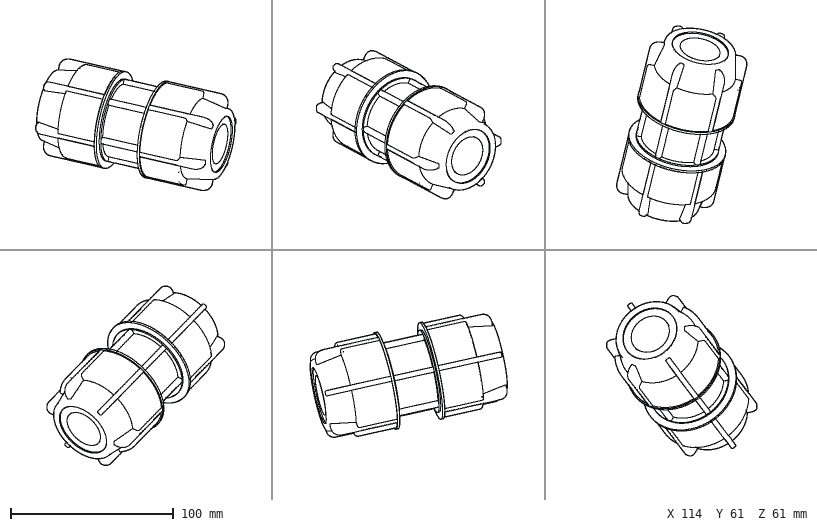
import cadquery as cq

total_length = 114.0
end_x = -total_length / 2
rib_count = 6
rib_width = 3.2
rib_edge_fillet = 0.7
rib_setback = 0.06

lip_radius = 22.3
lip_thickness = 0.8
lip_fillet = 0.7
cone_large_radius = 25.4
barrel_radius = 29.6
barrel_fillet = 1.4
barrel_start_x = -40.0
flange_radius = 61.0 / 2
flange_thickness = 1.5
flange_inner_x = -13.6
flange_outer_x = flange_inner_x - flange_thickness
nut_rib_radius = flange_radius - rib_setback
nut_rib_end_x = -55.9
nut_rib_corner_radius = 5.7
nut_rib_root_radius = 19.4

collar_radius = 51.9 / 2
collar_thickness = 1.0
core_radius = 22.9
body_rib_radius = collar_radius - rib_setback
body_rib_root_radius = 20.5

socket_radius = 25.0 / 2
stop_radius = 23.0 / 2
stop_width = 4.6
recess_radius = 35.2 / 2
recess_depth = 0.9

def cylinder(radius, start_x, stop_x):
    return cq.Workplane("YZ", origin=(start_x, 0, 0)).circle(radius).extrude(stop_x - start_x)

def around_axis(rib):
    """Repeat a rib standing on +Y evenly around the X axis."""
    ribs = rib
    for index in range(1, rib_count):
        ribs = ribs.union(rib.rotate((0, 0, 0), (1, 0, 0), index * 360 / rib_count))
    return ribs

def make_nut():
    lip_end_x = end_x + lip_thickness
    lip = cylinder(lip_radius, end_x, lip_end_x).faces("<X").edges().fillet(lip_fillet)
    cone = (
        cq.Workplane("XY")
        .moveTo(lip_end_x, 0)
        .lineTo(lip_end_x, lip_radius)
        .lineTo(barrel_start_x, cone_large_radius)
        .lineTo(barrel_start_x, 0)
        .close()
        .revolve(360, (0, 0, 0), (1, 0, 0))
    )
    barrel = cylinder(barrel_radius, barrel_start_x, flange_outer_x).faces("<X").edges().fillet(barrel_fillet)
    flange = cylinder(flange_radius, flange_outer_x, flange_inner_x)
    return lip.union(cone).union(barrel).union(flange).union(around_axis(make_nut_rib()))

def make_nut_rib():
    """Thin fin from the flange to the lip with a rounded outer corner and softened edges."""
    return (
        cq.Workplane("XY")
        .moveTo(nut_rib_end_x, nut_rib_root_radius)
        .lineTo(nut_rib_end_x, nut_rib_radius - nut_rib_corner_radius)
        .radiusArc((nut_rib_end_x + nut_rib_corner_radius, nut_rib_radius), nut_rib_corner_radius)
        .lineTo(flange_inner_x, nut_rib_radius)
        .lineTo(flange_inner_x, nut_rib_root_radius)
        .close()
        .extrude(rib_width / 2, both=True)
        .faces("<Z or >Z")
        .edges()
        .fillet(rib_edge_fillet)
    )

def make_body():
    core = cylinder(core_radius, flange_inner_x, -flange_inner_x)
    collar = cylinder(collar_radius, flange_inner_x, flange_inner_x + collar_thickness)
    rib_height = body_rib_radius - body_rib_root_radius
    rib = (
        cq.Workplane("XY")
        .box(-2 * flange_inner_x, rib_height, rib_width)
        .edges("|X and >Y")
        .fillet(rib_edge_fillet)
        .translate((0, body_rib_root_radius + rib_height / 2, 0))
    )
    return core.union(collar).union(collar.mirror("YZ")).union(around_axis(rib))

def make_bore():
    """Through hole with a pipe stop at mid-length and a shallow recess at each mouth."""
    bore = cylinder(stop_radius, end_x, -end_x)
    socket = cylinder(socket_radius, end_x, -stop_width / 2)
    recess = cylinder(recess_radius, end_x, end_x + recess_depth)
    mouth = socket.union(recess)
    return bore.union(mouth).union(mouth.mirror("YZ"))

nut = make_nut()
result = make_body().union(nut).union(nut.mirror("YZ")).cut(make_bore())